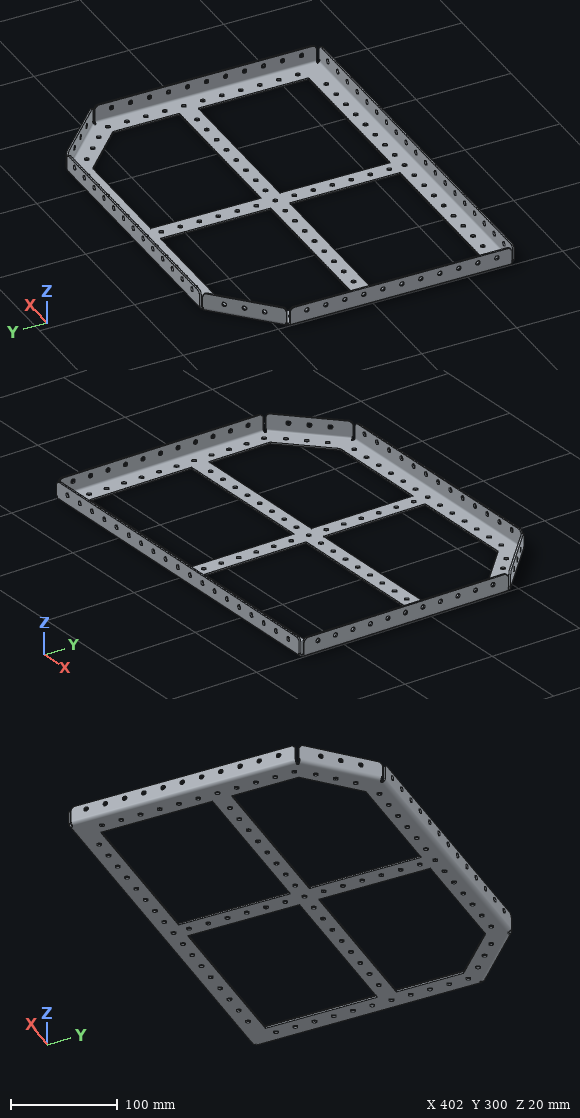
import cadquery as cq
import math

WIDTH = 402.0
DEPTH = 300.0
HEIGHT = 20.0

SHEET = 1.9
BEND_RADIUS = 3.9
FLANGE_CORNER_RADIUS = 4.5

CORNER_CUT_X = 62.7
CORNER_CUT_Y = 60.0

BORDER = 23.7
RIB_WIDTH = 20.0

HOLE_DIAMETER = 4.5
FRONT_FLANGE_HOLES = 19
FRONT_FLANGE_HOLE_SPAN = 360.5
PITCH = FRONT_FLANGE_HOLE_SPAN / (FRONT_FLANGE_HOLES - 1)
LONG_ROW_HOLES = 17
SHORT_ROW_HOLES = 13
SIDE_HOLES = 11
ANGLED_HOLES = 3
SIDE_COLUMN_START = -6 * PITCH
SIDE_FLANGE_START = SIDE_COLUMN_START - PITCH / 2
HOLE_INSET = 13.5
FRONT_HOLE_Z = 12.0
SIDE_HOLE_Z = 13.3
ANGLED_HOLE_Z = 12.0
REAR_HOLE_Z = 14.0

SQUARE_CORNER_GAP = BEND_RADIUS
CUT_CORNER_GAP = 2.5

FRONT_WALL_OVERHANG = 1.2
ANGLED_WALL_OVERHANG = 1.0

half_width = WIDTH / 2
half_depth = DEPTH / 2
cut_start_x = half_width - CORNER_CUT_X
cut_start_y = half_depth - CORNER_CUT_Y

front_left = (-half_width, -half_depth)
front_right = (half_width, -half_depth)
side_right = (half_width, cut_start_y)
rear_right = (cut_start_x, half_depth)
rear_left = (-cut_start_x, half_depth)
side_left = (-half_width, cut_start_y)
OUTLINE = [front_left, front_right, side_right, rear_right, rear_left, side_left]


def row(first, count):
    """Positions of evenly pitched holes, starting at the given one."""
    return [first + i * PITCH for i in range(count)]


def centred_row(count):
    """Positions of evenly pitched holes, centred on zero."""
    return row(-(count - 1) / 2 * PITCH, count)


def inset_plate(inset):
    """Sheet bounded by the outline moved inward by the given distance."""
    return cq.Workplane("XY").polyline(OUTLINE).close().offset2D(-inset).extrude(SHEET)


def angled_hole_points():
    """Floor holes along the two cut corners."""
    cut_length = math.hypot(CORNER_CUT_X, CORNER_CUT_Y)
    along_x = CORNER_CUT_X / cut_length
    along_y = CORNER_CUT_Y / cut_length
    middle_x = half_width - CORNER_CUT_X / 2 - HOLE_INSET * along_y
    middle_y = half_depth - CORNER_CUT_Y / 2 - HOLE_INSET * along_x
    points = []
    for side in (-1, 1):
        for offset in centred_row(ANGLED_HOLES):
            points.append((side * (middle_x - offset * along_x), middle_y + offset * along_y))
    return points


def floor_hole_points():
    """All holes through the floor."""
    column_x = half_width - HOLE_INSET
    row_y = half_depth - HOLE_INSET
    points = angled_hole_points()
    points += [(x, row_y) for x in centred_row(SHORT_ROW_HOLES)]
    points += [(x, -row_y) for x in centred_row(LONG_ROW_HOLES)]
    points += [(x, 0) for x in centred_row(LONG_ROW_HOLES)]
    points += [(0, y) for y in centred_row(SHORT_ROW_HOLES) if abs(y) > PITCH / 2]
    for x in (-column_x, column_x):
        points += [(x, y) for y in row(SIDE_COLUMN_START, SIDE_HOLES)]
    return points


def make_floor():
    """Flat border with a cross of two ribs between four windows."""
    rib_x = cq.Workplane("XY").box(WIDTH, RIB_WIDTH, SHEET, centered=(True, True, False))
    rib_y = cq.Workplane("XY").box(RIB_WIDTH, DEPTH, SHEET, centered=(True, True, False))
    windows = inset_plate(BORDER).cut(rib_x).cut(rib_y)
    holes = (
        cq.Workplane("XY")
        .pushPoints(floor_hole_points())
        .circle(HOLE_DIAMETER / 2)
        .extrude(SHEET)
    )
    return inset_plate(BEND_RADIUS).cut(windows).cut(holes)


def make_bend(plane, length):
    """Quarter-round bend; plane x runs inward from the outer face and y runs up."""
    inside_radius = BEND_RADIUS - SHEET
    diagonal = math.sqrt(0.5)
    outer_mid = BEND_RADIUS - BEND_RADIUS * diagonal
    inner_mid = BEND_RADIUS - inside_radius * diagonal
    return (
        cq.Workplane(plane)
        .moveTo(0, BEND_RADIUS)
        .threePointArc((outer_mid, outer_mid), (BEND_RADIUS, 0))
        .lineTo(BEND_RADIUS, SHEET)
        .threePointArc((inner_mid, inner_mid), (SHEET, BEND_RADIUS))
        .close()
        .extrude(length)
    )


def make_wall(plane, length, overhang, hole_offsets, hole_z):
    """Upright wall on its outer face plane, with x along the edge from its middle."""
    wall_height = HEIGHT - BEND_RADIUS
    wall = (
        cq.Workplane(plane)
        .center(0, BEND_RADIUS + wall_height / 2)
        .rect(length + 2 * overhang, wall_height)
        .extrude(-SHEET)
    )
    top_corners = wall.faces(">Z").edges(cq.selectors.ParallelDirSelector(plane.zDir))
    holes = (
        cq.Workplane(plane)
        .pushPoints([(offset, hole_z) for offset in hole_offsets])
        .circle(HOLE_DIAMETER / 2)
        .extrude(-SHEET)
    )
    return top_corners.fillet(FLANGE_CORNER_RADIUS).cut(holes)


def make_flange(start, end, start_gap, end_gap, hole_offsets, hole_z, overhang=0):
    """Bend and upright wall along one outline edge.

    Hole offsets are measured along the flange from its middle.
    """
    edge = cq.Vector(*end) - cq.Vector(*start)
    along = edge.normalized()
    inward = cq.Vector(-along.y, along.x, 0)
    bend_start = cq.Vector(*start) + along * start_gap
    length = edge.Length - start_gap - end_gap
    middle = bend_start + along * (length / 2)

    bend = make_bend(cq.Plane(origin=bend_start, xDir=inward, normal=along), length)
    wall_plane = cq.Plane(origin=middle, xDir=along, normal=inward * -1)
    return bend.union(make_wall(wall_plane, length, overhang, hole_offsets, hole_z))


side_middle_y = (cut_start_y - CUT_CORNER_GAP - half_depth + SQUARE_CORNER_GAP) / 2
side_holes = [y - side_middle_y for y in row(SIDE_FLANGE_START, SIDE_HOLES)]
mirrored_side_holes = [-offset for offset in side_holes]
front_holes = centred_row(FRONT_FLANGE_HOLES)
rear_holes = centred_row(SHORT_ROW_HOLES)
angled_holes = centred_row(ANGLED_HOLES)

square = SQUARE_CORNER_GAP
cut = CUT_CORNER_GAP
flanges = [
    make_flange(front_left, front_right, square, square, front_holes, FRONT_HOLE_Z,
                FRONT_WALL_OVERHANG),
    make_flange(front_right, side_right, square, cut, side_holes, SIDE_HOLE_Z),
    make_flange(side_right, rear_right, cut, cut, angled_holes, ANGLED_HOLE_Z,
                ANGLED_WALL_OVERHANG),
    make_flange(rear_right, rear_left, cut, cut, rear_holes, REAR_HOLE_Z),
    make_flange(rear_left, side_left, cut, cut, angled_holes, ANGLED_HOLE_Z,
                ANGLED_WALL_OVERHANG),
    make_flange(side_left, front_left, cut, square, mirrored_side_holes, SIDE_HOLE_Z),
]

result = make_floor()
for flange in flanges:
    result = result.union(flange)